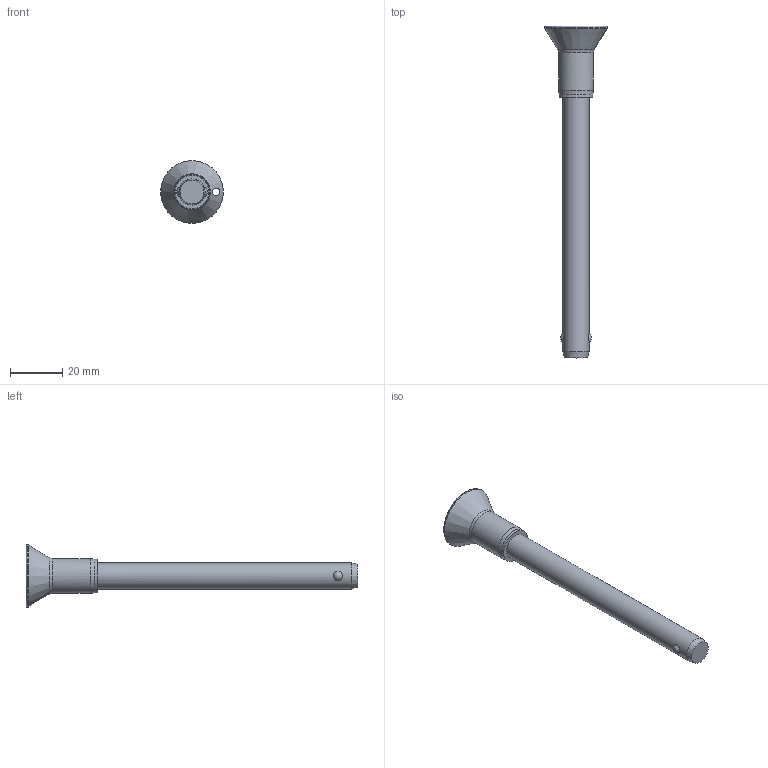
import cadquery as cq

TOTAL_LENGTH = 127.1
HEAD_FACE_Y = TOTAL_LENGTH / 2
TIP_FACE_Y = HEAD_FACE_Y - TOTAL_LENGTH

HEAD_RADIUS = 12.0
RIM_THICKNESS = 0.8
RIM_ROUND_RADIUS = 0.5
FLARE_END = 9.5
FLARE_BLEND_RADIUS = 2.0

SLEEVE_RADIUS = 6.7
SLEEVE_END = 27.3
TAPER_START = 24.6
TAPER_END = 26.1
COLLAR_RADIUS = 6.5

SHANK_RADIUS = 5.0
TIP_RADIUS = 4.5
TIP_LENGTH = 2.4

BALL_RADIUS = 2.0
BALL_REACH = 5.9
BALL_TO_TIP = 7.7

HOLE_DIAMETER = 2.8
HOLE_OFFSET = 9.2

EDGE_PICK_MARGIN = 0.1


def make_turned_body():
    """Head, sleeve, shank and tip, turned about the Y axis with sharp corners."""
    profile = [
        (0, 0),
        (HEAD_RADIUS, 0),
        (HEAD_RADIUS, RIM_THICKNESS),
        (SLEEVE_RADIUS, FLARE_END),
        (SLEEVE_RADIUS, TAPER_START),
        (COLLAR_RADIUS, TAPER_END),
        (COLLAR_RADIUS, SLEEVE_END),
        (SHANK_RADIUS, SLEEVE_END),
        (SHANK_RADIUS, TOTAL_LENGTH - TIP_LENGTH),
        (TIP_RADIUS, TOTAL_LENGTH),
        (0, TOTAL_LENGTH),
    ]
    points = [(radius, HEAD_FACE_Y - station) for radius, station in profile]
    return cq.Workplane("XY").polyline(points).close().revolve(360, (0, 0), (0, 1))


def round_head(body):
    """Blend the flare into the sleeve and round the rim of the head face."""
    flare_end_y = HEAD_FACE_Y - FLARE_END
    flare_edge = cq.selectors.BoxSelector(
        (-HEAD_RADIUS, flare_end_y - EDGE_PICK_MARGIN, -HEAD_RADIUS),
        (HEAD_RADIUS, flare_end_y + EDGE_PICK_MARGIN, HEAD_RADIUS),
    )
    body = body.edges(flare_edge).fillet(FLARE_BLEND_RADIUS)
    return body.edges(">Y").fillet(RIM_ROUND_RADIUS)


def add_balls(body):
    """Fuse the two locking balls, which stand proud of the shank at +X and -X."""
    ball_y = TIP_FACE_Y + BALL_TO_TIP
    for side in (-1, 1):
        ball_x = side * (BALL_REACH - BALL_RADIUS)
        ball = cq.Workplane("XY").sphere(BALL_RADIUS).translate((ball_x, ball_y, 0))
        body = body.union(ball)
    return body


def make_lanyard_hole():
    """Cutter running along Y from the head face out through the flare."""
    return (
        cq.Workplane("XZ", origin=(0, HEAD_FACE_Y, 0))
        .center(HOLE_OFFSET, 0)
        .circle(HOLE_DIAMETER / 2)
        .extrude(FLARE_END)
    )


pin = add_balls(round_head(make_turned_body()))
result = pin.cut(make_lanyard_hole())